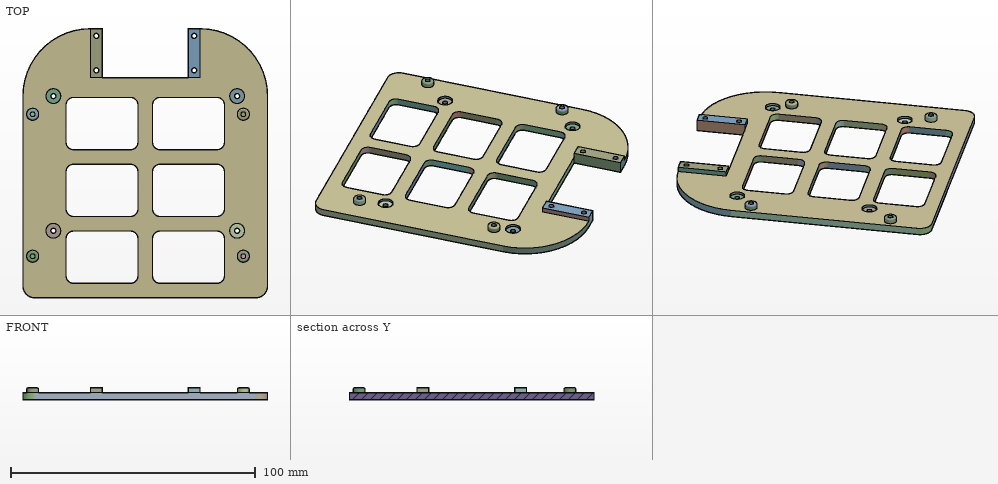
import cadquery as cq

plate_width = 100.0
plate_length = 110.0
plate_thickness = 3.0
front_corner_radius = 5.0

raised_height = 2.0
rail_width = 5.0
rail_length = 20.0
notch_width = 35.0
rail_hole_diameter = 2.0
rail_hole_inset = 3.0

rail_outer_x = notch_width / 2 + rail_width
rear_corner_radius = plate_width / 2 - rail_outer_x

window_columns = 2
window_rows = 3
window_width = 29.3
window_length = 21.2
window_gap = 6.0
window_front_margin = 6.0
window_corner_radius = 3.0

screw_spacing_x = 75.0
screw_spacing_y = 55.0
screw_rear_inset = rear_corner_radius
screw_hole_diameter = 2.0
counterbore_diameter = 6.0
counterbore_depth = 1.0

standoff_diameter = 5.0
standoff_edge_radius = 0.7
standoff_left_x = -46.0
standoff_right_x = 40.0
standoff_rear_inset = 35.0
standoff_spacing_y = 58.0
pilot_diameter = 2.0
pilot_depth = raised_height


def make_plate():
    """Plate with two front corner radii, two rear corner radii and a rear notch."""
    plate = cq.Workplane("XY").box(plate_width, plate_length, plate_thickness, centered=(True, False, False))
    plate = plate.edges("|Z and <Y").fillet(front_corner_radius)
    plate = plate.edges("|Z and >Y").fillet(rear_corner_radius)
    notch = (
        cq.Workplane("XY")
        .box(notch_width, rail_length, plate_thickness, centered=(True, False, False))
        .translate((0, plate_length - rail_length, 0))
    )
    return plate.cut(notch)


def make_windows():
    """Cutters for the window grid."""
    pitch_x = window_width + window_gap
    pitch_y = window_length + window_gap
    middle_y = window_front_margin + window_length / 2 + pitch_y * (window_rows - 1) / 2
    return (
        cq.Workplane("XY")
        .center(0, middle_y)
        .rarray(pitch_x, pitch_y, window_columns, window_rows)
        .rect(window_width, window_length)
        .extrude(plate_thickness)
        .edges("|Z")
        .fillet(window_corner_radius)
    )


def add_rails(body):
    """Add the two rails and drill both of them through the plate."""
    centre_x = rail_outer_x - rail_width / 2
    centre_y = plate_length - rail_length / 2
    total_height = plate_thickness + raised_height
    rails = (
        cq.Workplane("XY")
        .pushPoints([(-centre_x, centre_y), (centre_x, centre_y)])
        .rect(rail_width, rail_length)
        .extrude(total_height)
    )
    holes = (
        cq.Workplane("XY")
        .center(0, centre_y)
        .rarray(2 * centre_x, rail_length - 2 * rail_hole_inset, 2, 2)
        .circle(rail_hole_diameter / 2)
        .extrude(total_height)
    )
    return body.union(rails).cut(holes)


def cut_screw_holes(body):
    """Cut the counterbored holes from the top face of the plate."""
    centre_y = plate_length - screw_rear_inset - screw_spacing_y / 2
    return (
        body.copyWorkplane(cq.Workplane("XY", origin=(0, centre_y, plate_thickness)))
        .rarray(screw_spacing_x, screw_spacing_y, 2, 2)
        .cboreHole(screw_hole_diameter, counterbore_diameter, counterbore_depth)
    )


def make_standoff():
    """One round-edged standoff with its blind pilot hole, base at z = 0."""
    return (
        cq.Workplane("XY")
        .circle(standoff_diameter / 2)
        .extrude(raised_height)
        .faces(">Z")
        .edges()
        .fillet(standoff_edge_radius)
        .faces(">Z")
        .workplane()
        .hole(pilot_diameter, pilot_depth)
    )


def add_standoffs(body):
    """Place the four standoffs on the top face of the plate."""
    standoff = make_standoff()
    rear_y = plate_length - standoff_rear_inset
    for x in (standoff_left_x, standoff_right_x):
        for y in (rear_y, rear_y - standoff_spacing_y):
            body = body.union(standoff.translate((x, y, plate_thickness)))
    return body


result = make_plate().cut(make_windows())
result = add_rails(result)
result = cut_screw_holes(result)
result = add_standoffs(result)